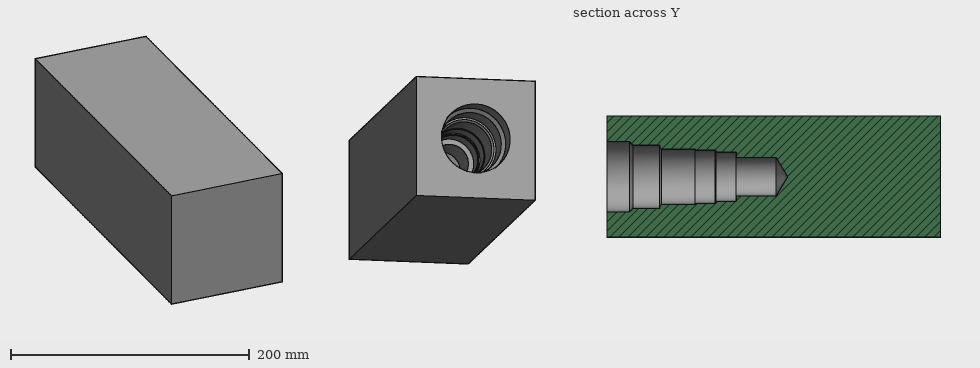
import cadquery as cq
import math

length = 279.5
side = 101.7

mouth_radius = 29.3
upper_radius = 26.3
ledge_radius = 24.5
middle_radius = 23.0
seal_radius = 22.0
lower_radius = 21.2
nose_radius = 20.5
pilot_radius = 16.0

mouth_length = 18.7
upper_length = 22.4
middle_length = 28.0
seal_length = 16.8
nose_length = 16.8
pilot_length = 33.5

lead_in_angle = 45.0
drill_half_angle = 59.0


def cone_length(large_radius, small_radius, half_angle):
    """Axial length of a cone between two radii."""
    return (large_radius - small_radius) / math.tan(math.radians(half_angle))


cavity_steps = [
    (mouth_length, mouth_radius),
    (cone_length(mouth_radius, upper_radius, lead_in_angle), upper_radius),
    (upper_length, upper_radius),
    (0, ledge_radius),
    (cone_length(ledge_radius, middle_radius, lead_in_angle), middle_radius),
    (middle_length, middle_radius),
    (0, seal_radius),
    (seal_length, seal_radius),
    (cone_length(seal_radius, lower_radius, lead_in_angle), lower_radius),
    (0, nose_radius),
    (nose_length, nose_radius),
    (0, pilot_radius),
    (pilot_length, pilot_radius),
    (cone_length(pilot_radius, 0, drill_half_angle), 0),
]


def make_cavity():
    """Revolve the stepped half-profile about the block's long axis."""
    x = -length / 2
    points = [(x, 0), (x, -mouth_radius)]
    for advance, radius in cavity_steps:
        x += advance
        points.append((x, -radius))
    profile = cq.Workplane("XZ").polyline(points).close()
    return profile.revolve(360, (0, 0, 0), (1, 0, 0))


block = cq.Workplane("XY").box(length, side, side)
result = block.cut(make_cavity())